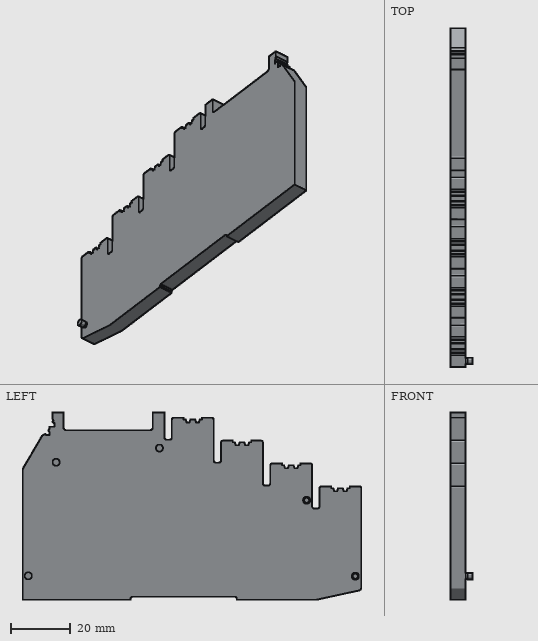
import cadquery as cq

length = 114.5
height = 63.3
thickness = 5.2

block_count = 4
row_length = 66.5
block_pitch = row_length / block_count
block_width = 14.2
first_block_top = 38.4
last_block_top = 61.6
block_rise = (last_block_top - first_block_top) / (block_count - 1)
slot_depth = 7.5
block_corner = 0.7
slot_corner = 0.7

recess_half_width = 3.1
recess_depth = 0.6
groove_offset = 1.6
groove_mouth_half = 0.8
groove_floor_half = 0.5
groove_depth = 1.6

inner_tab_start = row_length
inner_tab_width = 4.0
outer_tab_start = 100.7
outer_tab_end = 104.4
tab_floor = 57.4
tab_corner = 0.9

latch_throat = 103.8
latch_throat_top = 59.7
latch_ledge_y = 105.5
latch_ledge_z = 58.5
tooth_size = 0.3
upper_tooth_z = 60.1
lower_tooth_z = 57.4
shelf_z = 55.8
shelf_lip_y = 106.8
slope_top_y = 107.9
slope_top_z = 55.5
slope_bottom_z = 44.2

foot_recess_start = 42.1
foot_recess_end = 78.0
foot_recess_height = 1.0
foot_chamfer = 0.5
nose_run = 15.2
nose_rise = 3.3

end_corner = 1.1

edge_search = 0.06

pin_y = 2.1
pin_z = 8.0
pin_length = 2.4
pin_diameter = 2.3
neck_length = 0.3
neck_flare = 0.3
neck_diameter = 2.1

hole_diameter = 2.4
hole_depth = 3.4
plain_holes = [(68.3, 51.3), (103.2, 46.5), (112.6, 8.1)]
stepped_holes = [(18.5, 33.7), (pin_y, pin_z)]
bore_diameter = 1.7
bore_depth = 1.6
counterbore_depth = 0.5


def block_top(index):
    return first_block_top + index * block_rise


def body_outline():
    points = [
        (nose_run, 0),
        (foot_recess_start, 0),
        (foot_recess_start, foot_recess_height - foot_chamfer),
        (foot_recess_start + foot_chamfer, foot_recess_height),
        (foot_recess_end - foot_chamfer, foot_recess_height),
        (foot_recess_end, foot_recess_height - foot_chamfer),
        (foot_recess_end, 0),
        (length, 0),
        (length, slope_bottom_z),
        (slope_top_y, slope_top_z),
        (shelf_lip_y, shelf_z + tooth_size),
        (shelf_lip_y - tooth_size, shelf_z),
        (latch_ledge_y, shelf_z),
        (latch_ledge_y, lower_tooth_z - 2 * tooth_size),
        (latch_ledge_y + tooth_size, lower_tooth_z),
        (latch_ledge_y, lower_tooth_z + tooth_size),
        (latch_ledge_y, latch_ledge_z),
        (latch_throat, latch_ledge_z),
        (latch_throat, latch_throat_top),
        (outer_tab_end, upper_tooth_z),
        (outer_tab_end - tooth_size, upper_tooth_z + tooth_size),
        (outer_tab_end, upper_tooth_z + 3 * tooth_size),
        (outer_tab_end, height),
        (outer_tab_start, height),
        (outer_tab_start, tab_floor),
        (inner_tab_start + inner_tab_width, tab_floor),
        (inner_tab_start + inner_tab_width, height),
        (inner_tab_start, height),
    ]
    for index in reversed(range(block_count)):
        start = index * block_pitch
        top = block_top(index)
        points += [
            (start + block_pitch, top - slot_depth),
            (start + block_width, top - slot_depth),
            (start + block_width, top),
            (start, top),
        ]
    points.append((0, nose_rise))
    return points


def edge_along_x(y, z):
    """Selector for the edge through the body at one outline corner."""
    low = (0, y - edge_search, z - edge_search)
    high = (thickness, y + edge_search, z + edge_search)
    return cq.selectors.BoxSelector(low, high)


def round_corners(body, corners, radius):
    for y, z in corners:
        body = body.edges(edge_along_x(y, z)).fillet(radius)
    return body


def make_body():
    body = cq.Workplane("YZ").polyline(body_outline()).close().extrude(thickness)
    block_corners = []
    slot_corners = []
    for index in range(block_count):
        start = index * block_pitch
        top = block_top(index)
        block_corners += [(start, top), (start + block_width, top)]
        slot_floor = top - slot_depth
        slot_corners += [(start + block_width, slot_floor), (start + block_pitch, slot_floor)]
    body = round_corners(body, block_corners, block_corner)
    body = round_corners(body, slot_corners, slot_corner)
    tab_corners = [(outer_tab_start, tab_floor), (inner_tab_start + inner_tab_width, tab_floor)]
    body = round_corners(body, tab_corners, tab_corner)
    return round_corners(body, [(0, nose_rise), (length, slope_bottom_z)], end_corner)


def double_groove(index):
    middle = index * block_pitch + block_width / 2
    top = block_top(index)
    profile = [(middle - recess_half_width, top), (middle - recess_half_width, top - recess_depth)]
    for groove in (middle - groove_offset, middle + groove_offset):
        profile += [
            (groove - groove_mouth_half, top - recess_depth),
            (groove - groove_floor_half, top - groove_depth),
            (groove + groove_floor_half, top - groove_depth),
            (groove + groove_mouth_half, top - recess_depth),
        ]
    profile += [(middle + recess_half_width, top - recess_depth), (middle + recess_half_width, top)]
    return cq.Workplane("YZ").polyline(profile).close().extrude(thickness)


def holes(centres, diameter, depth):
    """Round cutters running inward from the -X face."""
    return cq.Workplane("YZ").pushPoints(centres).circle(diameter / 2).extrude(depth)


def make_pin():
    """Round pin turned about its own axis, with a thin neck flaring out at the root."""
    profile = [
        (0, 0),
        (0, neck_diameter / 2),
        (neck_length, neck_diameter / 2),
        (neck_length + neck_flare, pin_diameter / 2),
        (pin_length, pin_diameter / 2),
        (pin_length, 0),
    ]
    pin = cq.Workplane("XY").polyline(profile).close().revolve(360, (0, 0), (1, 0))
    return pin.translate((thickness, pin_y, pin_z))


result = make_body()
for block in range(block_count):
    result = result.cut(double_groove(block))
result = result.cut(holes(plain_holes, hole_diameter, hole_depth))
result = result.cut(holes(stepped_holes, hole_diameter, counterbore_depth))
result = result.cut(holes(stepped_holes, bore_diameter, bore_depth))
result = result.union(make_pin())